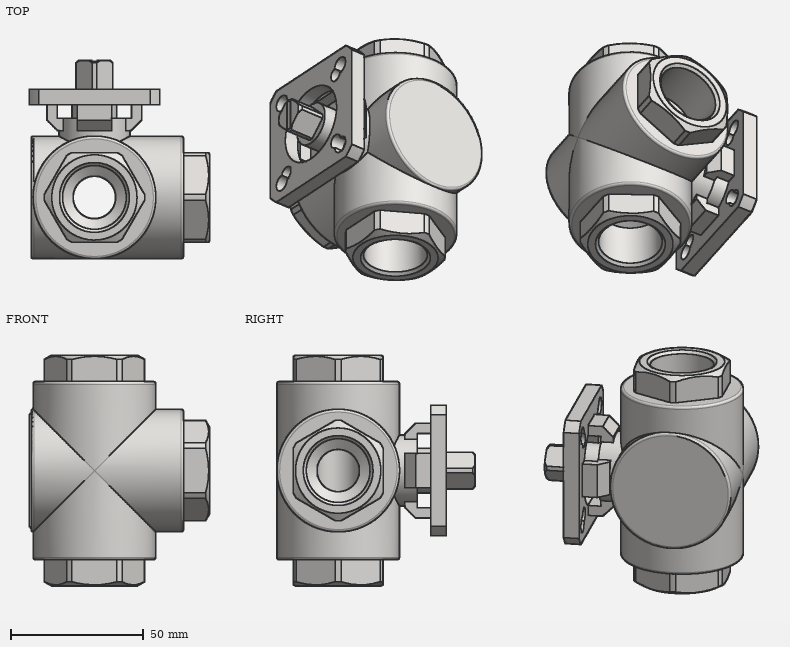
import cadquery as cq
import math


body_radius = 46.5 / 2
body_edge_fillet = 1.0
closed_end = 24.0
port_end = 87.5 / 2

hex_across_flats = 34.0
hex_length = 10.0
hex_corner_radius = 38.0 / 2
hex_face_radius = 0.95 * hex_across_flats / 2
hex_chamfer_angle = 30.0
shoulder = port_end - hex_length

thread_radius = 24.12 / 2
mouth_radius = 26.44 / 2
thread_depth = 19.0
passage_radius = 16.0 / 2
seat_cone_angle = 60.0

neck_radius = 27.0 / 2
neck_top = 30.0
stem_radius = 17.0 / 2
plate_bottom = 35.0
plate_thickness = 6.0
plate_top = plate_bottom + plate_thickness
plate_width = 49.5
plate_corner_radius = 65.0 / 2
plate_hole_radius = 31.0 / 2
bolt_patterns = [(42.0, 5.5), (50.0, 6.5)]
bolt_angles = [45, 135, 225, 315]

leg_width = 13.1
leg_outer = 18.0
leg_inner = 14.0
leg_bottom = 25.3
leg_chamfer = leg_outer - leg_inner

square_size = 11.0
square_corner_radius = 14.0 / 2
square_end = 51.9
square_chamfer = 1.0
mark_width = 2.0
mark_depth = 0.3

port_planes = [
    cq.Plane(origin=(0, 0, 0), xDir=(1, 0, 0), normal=(0, 0, 1)),
    cq.Plane(origin=(0, 0, 0), xDir=(1, 0, 0), normal=(0, 0, -1)),
    cq.Plane(origin=(0, 0, 0), xDir=(0, 0, 1), normal=(1, 0, 0)),
]
stem_plane = cq.Plane(origin=(0, 0, 0), xDir=(1, 0, 0), normal=(0, 1, 0))


def rod(plane, start, end, radius):
    """Cylinder along the plane normal between two distances from the centre."""
    return cq.Workplane(plane).workplane(offset=start).circle(radius).extrude(end - start)


def turned(plane, profile):
    """Solid of revolution about the plane normal from (radius, distance) points."""
    side = cq.Plane(origin=(0, 0, 0), xDir=plane.xDir, normal=plane.xDir.cross(plane.zDir))
    return cq.Workplane(side).polyline(profile).close().revolve(360, (0, 0, 0), (0, 1, 0))


def body():
    run = rod(port_planes[0], -shoulder, shoulder, body_radius).edges().fillet(body_edge_fillet)
    branch = rod(port_planes[2], -closed_end, shoulder, body_radius).edges().fillet(body_edge_fillet)
    return run.union(branch)


def hex_end(plane):
    """Hexagon with rounded corners and a conical chamfer on its outer face."""
    chamfer_height = (hex_corner_radius - hex_face_radius) * math.tan(math.radians(hex_chamfer_angle))
    hexagon = (
        cq.Workplane(plane)
        .polygon(6, hex_across_flats / math.cos(math.pi / 6))
        .extrude(port_end)
    )
    envelope = turned(plane, [
        (0, 0),
        (hex_corner_radius, 0),
        (hex_corner_radius, port_end - chamfer_height),
        (hex_face_radius, port_end),
        (0, port_end),
    ])
    return hexagon.intersect(envelope)


def port_bore(plane):
    """Chamfered mouth, thread bore, conical seat and passage to the centre."""
    mouth_depth = mouth_radius - thread_radius
    cone_height = (thread_radius - passage_radius) / math.tan(math.radians(seat_cone_angle))
    cone_start = port_end - thread_depth
    return turned(plane, [
        (0, 0),
        (passage_radius, 0),
        (passage_radius, cone_start - cone_height),
        (thread_radius, cone_start),
        (thread_radius, port_end - mouth_depth),
        (mouth_radius, port_end),
        (0, port_end),
    ])


def legs():
    """Four legs around the neck, each running in to the stem axis."""
    leg_outline = [
        (0, leg_bottom),
        (leg_inner, leg_bottom),
        (leg_outer, leg_bottom + leg_chamfer),
        (leg_outer, plate_bottom),
        (leg_inner, plate_bottom),
        (leg_inner, neck_top),
        (0, neck_top),
    ]
    leg = cq.Workplane("XY").polyline(leg_outline).close().extrude(leg_width / 2, both=True)
    all_legs = leg
    for angle in (90, 180, 270):
        all_legs = all_legs.union(leg.rotate((0, 0, 0), (0, 1, 0), angle))
    return all_legs


def mounting_plate():
    """Square plate with arc-cut corners, a clearance hole for the stem and paired, overlapping bolt holes."""
    plate = (
        cq.Workplane(stem_plane)
        .workplane(offset=plate_bottom)
        .rect(plate_width, plate_width)
        .extrude(plate_thickness)
        .intersect(rod(stem_plane, plate_bottom, plate_top, plate_corner_radius))
        .cut(rod(stem_plane, plate_bottom, plate_top, plate_hole_radius))
    )
    for circle_diameter, hole_diameter in bolt_patterns:
        for angle in bolt_angles:
            x = circle_diameter / 2 * math.cos(math.radians(angle))
            z = circle_diameter / 2 * math.sin(math.radians(angle))
            hole = rod(stem_plane, plate_bottom, plate_top, hole_diameter / 2)
            plate = plate.cut(hole.translate((x, 0, z)))
    return plate


def drive_square():
    """Square turned 45 degrees to the plate, with rounded corners, a conical end and a position groove."""
    square = (
        cq.Workplane(stem_plane)
        .workplane(offset=plate_bottom)
        .transformed(rotate=(0, 0, 45))
        .rect(square_size, square_size)
        .extrude(square_end - plate_bottom)
    )
    envelope = rod(stem_plane, plate_bottom, square_end, square_corner_radius)
    groove = (
        cq.Workplane(stem_plane)
        .workplane(offset=square_end - mark_depth)
        .rect(mark_width, 2 * square_corner_radius)
        .extrude(mark_depth)
    )
    return square.intersect(envelope.faces(">Y").chamfer(square_chamfer)).cut(groove)


result = body()
for port_plane in port_planes:
    result = result.union(hex_end(port_plane))
result = result.union(rod(stem_plane, 0, neck_top, neck_radius))
result = result.union(rod(stem_plane, 0, plate_top, stem_radius))
result = result.union(legs())
result = result.union(mounting_plate())
result = result.union(drive_square())
for port_plane in port_planes:
    result = result.cut(port_bore(port_plane))